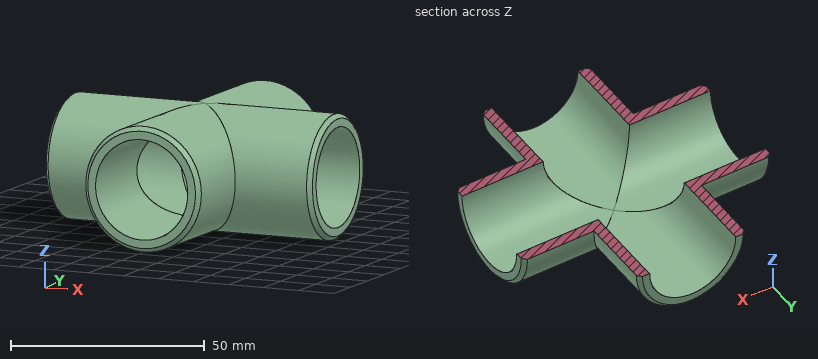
import cadquery as cq

length = 76.0
outer_diameter = 33.0
bore_diameter = 26.3
end_chamfer = 1.15


def centered_cylinder(plane, diameter):
    """Full-length cylinder centred on the origin, along the plane's normal."""
    return cq.Workplane(plane).circle(diameter / 2).extrude(length / 2, both=True)


def chamfered_pipe(plane):
    """Solid pipe body with both end rims chamfered."""
    return centered_cylinder(plane, outer_diameter).edges("%CIRCLE").chamfer(end_chamfer)


pipe_planes = ("YZ", "XZ")

result = chamfered_pipe(pipe_planes[0]).union(chamfered_pipe(pipe_planes[1]))

for plane in pipe_planes:
    result = result.cut(centered_cylinder(plane, bore_diameter))